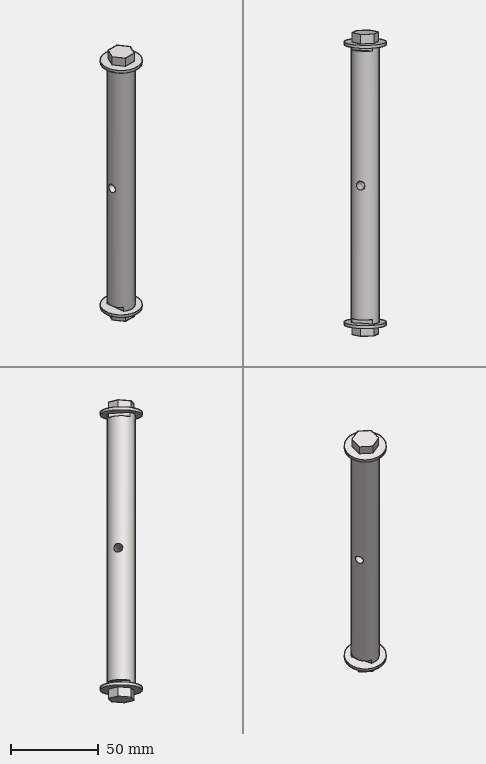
import cadquery as cq
import math

total_length = 174.6
shaft_diameter = 16.0
flange_diameter = 24.0
flange_thickness = 1.7
hex_across_flats = 13.3
hex_height = 5.4
neck_across_flats = 10.0
neck_length = 2.5
cross_hole_diameter = 5.0

half_length = total_length / 2
hex_corner_diameter = hex_across_flats / math.cos(math.pi / 6)
flange_outer_z = half_length - hex_height
flange_inner_z = flange_outer_z - flange_thickness
neck_start_z = flange_inner_z - neck_length


def make_shaft():
    """Central round bar reaching the two necks."""
    return cq.Workplane("XY").circle(shaft_diameter / 2).extrude(neck_start_z, both=True)


def make_upper_end():
    """Two-flat neck, round flange and hexagonal head, stacked along +Z."""
    flats = cq.Workplane("XY", origin=(0, 0, neck_start_z))
    flats = flats.rect(shaft_diameter, neck_across_flats).extrude(neck_length)
    neck = cq.Workplane("XY", origin=(0, 0, neck_start_z))
    neck = neck.circle(shaft_diameter / 2).extrude(neck_length).intersect(flats)

    flange = cq.Workplane("XY", origin=(0, 0, flange_inner_z))
    flange = flange.circle(flange_diameter / 2).extrude(flange_thickness)

    head = cq.Workplane("XY", origin=(0, 0, flange_outer_z))
    head = head.transformed(rotate=(0, 0, 90))
    head = head.polygon(6, hex_corner_diameter).extrude(hex_height)
    return neck.union(flange).union(head)


def make_cross_hole():
    """Cutter for the hole along Y through the middle of the shaft."""
    return cq.Workplane("XZ").circle(cross_hole_diameter / 2).extrude(shaft_diameter, both=True)


upper_end = make_upper_end()
lower_end = upper_end.mirror("XY")
result = make_shaft().union(upper_end).union(lower_end).cut(make_cross_hole())